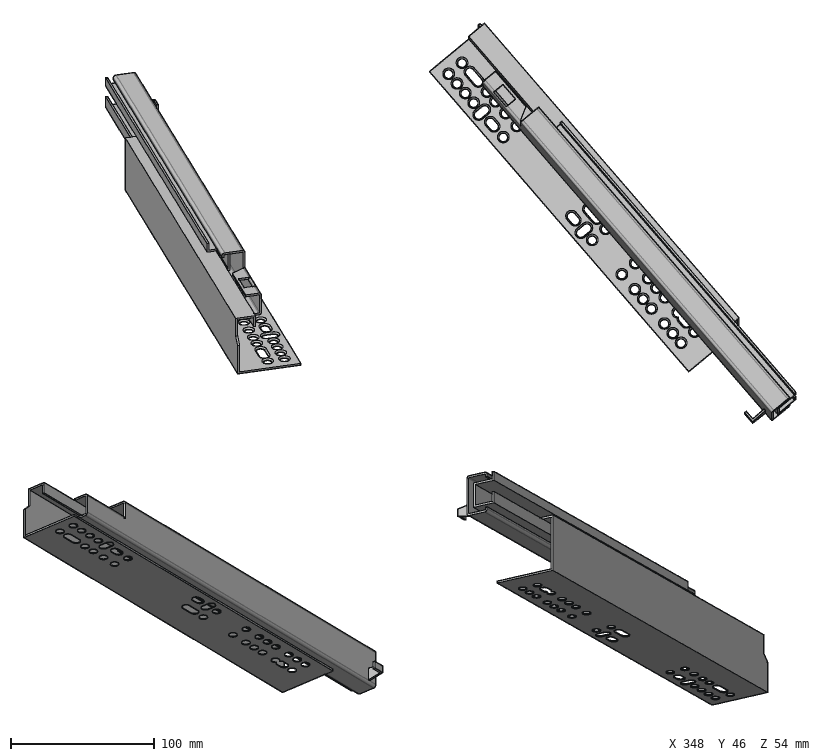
import cadquery as cq

SHEET = 1.5
TOTAL_LENGTH = 348.0

BRACKET_START = 68.0
BRACKET_LENGTH = TOTAL_LENGTH - BRACKET_START
BRACKET_DEPTH = 46.0
BRACKET_HEIGHT = 41.5
BRACKET_FLANGE = 14.5
BRACKET_LIP_BOTTOM = 33.0
NOTCH_LENGTH = 5.0
NOTCH_BOTTOM = 27.5

HOLE_DIAMETER = 6.0
COUNTERSINK_DIAMETER = 8.2
COUNTERSINK_HALF_ANGLE = 45
BACK_ROW_Y = 36.9
FRONT_ROW_Y = 24.7
HOLE_STEP = 9.0
BACK_ROW_HOLES = [19, 28, 37, 51, 60, 69, 83, 115, 211] + [243 + HOLE_STEP * i for i in range(4)]
FRONT_ROW_HOLES = [19, 37, 51, 60, 69, 83, 115, 211, 223, 234, 243, 270]
SHORT_SLOT_TRAVEL = 4.0
LONG_SLOT_TRAVEL = 9.0
CROSS_SLOT_TRAVEL = 5.5
BACK_ROW_SHORT_SLOTS = [135.3, 223]
FRONT_ROW_SHORT_SLOTS = [29.7]
FRONT_ROW_LONG_SLOTS = [129, 257]
CROSS_SLOTS = [124, 234.3]

MIDDLE_LENGTH = 253.0
MIDDLE_BACK = 22.3
MIDDLE_FRONT = 5.5
MIDDLE_BOTTOM = 29.5
MIDDLE_TOP = 47.8
MIDDLE_LOWER_LIP_TOP = 38.0
MIDDLE_UPPER_LIP_TOP = 53.0

DRAWER_LENGTH = 312.0
DRAWER_UPPER_LENGTH = 271.0
DRAWER_BACK = 27.8
DRAWER_FRONT = 11.1
DRAWER_BOTTOM = 24.2
DRAWER_TOP = 54.0
DRAWER_LIP = 3.5
BEND_RADIUS = 2.0
INNER_BEND_RADIUS = BEND_RADIUS - SHEET

TONGUE_TOP = BRACKET_HEIGHT
TONGUE_FRONT = 16.2
TONGUE_SLANT_START = 273.8
TONGUE_SLANT_END = 279.0
WINDOW_START = 287.8
WINDOW_END = 301.4
WINDOW_FRONT = 18.3
WINDOW_BACK_TOP = 27.2
WINDOW_BACK_BOTTOM = 25.0

HOOK_START = 6.6
HOOK_END = 15.2
HOOK_BACK = 39.6
HOOK_MIDDLE_Z = 31.3
HOOK_ROOT_HEIGHT = 9.6
HOOK_TIP_HEIGHT = 5.4


def box(x0, x1, y0, y1, z0, z1):
    """Box between two corners."""
    return cq.Workplane("XY").box(x1 - x0, y1 - y0, z1 - z0, centered=False).translate((x0, y0, z0))


def section(start):
    """Workplane across the runner at X = start, drawn in Y and Z and extruded toward +X."""
    return cq.Workplane("YZ", origin=(start, 0, 0))


def countersunk_hole(x, y, travel=0.0, angle=0.0):
    """Cutter for a countersunk hole, stretched into a slot when it has some travel."""

    def outline(diameter, z):
        plane = cq.Workplane("XY", origin=(BRACKET_START + x, y, z))
        return plane.slot2D(travel + diameter, diameter, angle) if travel else plane.circle(diameter / 2)

    sink_depth = (COUNTERSINK_DIAMETER - HOLE_DIAMETER) / 2
    through = outline(HOLE_DIAMETER, 0).extrude(SHEET)
    cone = outline(COUNTERSINK_DIAMETER, SHEET).extrude(-sink_depth, taper=COUNTERSINK_HALF_ANGLE)
    return through.union(cone)


def make_bracket():
    profile = [
        (BRACKET_DEPTH, 0),
        (0, 0),
        (0, BRACKET_HEIGHT),
        (BRACKET_FLANGE, BRACKET_HEIGHT),
        (BRACKET_FLANGE, BRACKET_LIP_BOTTOM),
        (BRACKET_FLANGE - SHEET, BRACKET_LIP_BOTTOM),
        (BRACKET_FLANGE - SHEET, BRACKET_HEIGHT - SHEET),
        (SHEET, BRACKET_HEIGHT - SHEET),
        (SHEET, SHEET),
        (BRACKET_DEPTH, SHEET),
    ]
    bracket = section(BRACKET_START).polyline(profile).close().extrude(BRACKET_LENGTH)

    notch_start = TOTAL_LENGTH - NOTCH_LENGTH
    notch = (
        cq.Workplane("XZ")
        .moveTo(notch_start, BRACKET_HEIGHT)
        .lineTo(notch_start, NOTCH_BOTTOM)
        .lineTo(TOTAL_LENGTH, NOTCH_BOTTOM - NOTCH_LENGTH)
        .lineTo(TOTAL_LENGTH, BRACKET_HEIGHT)
        .close()
        .extrude(-BRACKET_DEPTH)
    )
    bracket = bracket.cut(notch)

    cutters = [countersunk_hole(x, BACK_ROW_Y) for x in BACK_ROW_HOLES]
    cutters += [countersunk_hole(x, FRONT_ROW_Y) for x in FRONT_ROW_HOLES]
    cutters += [countersunk_hole(x, BACK_ROW_Y, SHORT_SLOT_TRAVEL) for x in BACK_ROW_SHORT_SLOTS]
    cutters += [countersunk_hole(x, FRONT_ROW_Y, SHORT_SLOT_TRAVEL) for x in FRONT_ROW_SHORT_SLOTS]
    cutters += [countersunk_hole(x, FRONT_ROW_Y, LONG_SLOT_TRAVEL) for x in FRONT_ROW_LONG_SLOTS]
    cutters += [countersunk_hole(x, BACK_ROW_Y, CROSS_SLOT_TRAVEL, 90) for x in CROSS_SLOTS]
    for cutter in cutters:
        bracket = bracket.cut(cutter)
    return bracket


def make_middle_rail():
    profile = [
        (MIDDLE_BACK, MIDDLE_BOTTOM),
        (MIDDLE_FRONT, MIDDLE_BOTTOM),
        (MIDDLE_FRONT, MIDDLE_LOWER_LIP_TOP),
        (MIDDLE_FRONT + SHEET, MIDDLE_LOWER_LIP_TOP),
        (MIDDLE_FRONT + SHEET, MIDDLE_BOTTOM + SHEET),
        (MIDDLE_BACK - SHEET, MIDDLE_BOTTOM + SHEET),
        (MIDDLE_BACK - SHEET, MIDDLE_TOP - SHEET),
        (MIDDLE_FRONT, MIDDLE_TOP - SHEET),
        (MIDDLE_FRONT, MIDDLE_UPPER_LIP_TOP),
        (MIDDLE_FRONT + SHEET, MIDDLE_UPPER_LIP_TOP),
        (MIDDLE_FRONT + SHEET, MIDDLE_TOP),
        (MIDDLE_BACK, MIDDLE_TOP),
    ]
    return section(0).polyline(profile).close().extrude(MIDDLE_LENGTH)


def rounded_channel(start, end, front, top, inner_front):
    """Rounded block along X with the drawer rail's back and bottom, hollowed to the sheet thickness."""
    outside = box(start, end, front, DRAWER_BACK, DRAWER_BOTTOM, top)
    inside = box(start, end, inner_front, DRAWER_BACK - SHEET, DRAWER_BOTTOM + SHEET, top - SHEET)
    return outside.edges("|X").fillet(BEND_RADIUS).cut(inside.edges("|X").fillet(INNER_BEND_RADIUS))


def make_drawer_rail():
    lip_inside = DRAWER_FRONT + SHEET
    upper_lip_bottom = DRAWER_TOP - DRAWER_LIP
    lower_lip_top = DRAWER_BOTTOM + DRAWER_LIP

    rail = rounded_channel(0, DRAWER_UPPER_LENGTH, DRAWER_FRONT, DRAWER_TOP, lip_inside)
    rail = rail.cut(box(0, DRAWER_UPPER_LENGTH, DRAWER_FRONT, lip_inside, lower_lip_top, upper_lip_bottom))

    rear = rounded_channel(DRAWER_UPPER_LENGTH, DRAWER_LENGTH, DRAWER_FRONT, TONGUE_TOP, lip_inside)
    rear = rear.cut(
        box(DRAWER_UPPER_LENGTH, DRAWER_LENGTH, DRAWER_FRONT, TONGUE_FRONT, lower_lip_top, TONGUE_TOP)
    )
    slant = (
        cq.Workplane("XY", origin=(0, 0, TONGUE_TOP - BEND_RADIUS))
        .moveTo(DRAWER_UPPER_LENGTH, TONGUE_FRONT)
        .lineTo(TONGUE_SLANT_END, TONGUE_FRONT)
        .lineTo(TONGUE_SLANT_START, DRAWER_BACK - BEND_RADIUS)
        .lineTo(DRAWER_UPPER_LENGTH, DRAWER_BACK)
        .close()
        .extrude(BEND_RADIUS)
    )
    window_outline = [
        (WINDOW_FRONT, TONGUE_TOP),
        (WINDOW_FRONT, TONGUE_TOP - SHEET),
        (WINDOW_BACK_BOTTOM, TONGUE_TOP - SHEET),
        (WINDOW_BACK_TOP, TONGUE_TOP),
    ]
    window = section(WINDOW_START).polyline(window_outline).close().extrude(WINDOW_END - WINDOW_START)
    return rail.union(rear.cut(slant).cut(window)).union(make_hook())


def make_hook():
    """Plate standing out of the back of the drawer rail, its end bent toward +X."""
    bent_plate = box(HOOK_START, HOOK_START + SHEET, DRAWER_BACK, HOOK_BACK, DRAWER_BOTTOM, DRAWER_TOP)
    bent_plate = bent_plate.union(
        box(HOOK_START, HOOK_END, HOOK_BACK - SHEET, HOOK_BACK, DRAWER_BOTTOM, DRAWER_TOP)
    )
    taper_outline = [
        (DRAWER_BACK, HOOK_MIDDLE_Z - HOOK_ROOT_HEIGHT / 2),
        (HOOK_BACK, HOOK_MIDDLE_Z - HOOK_TIP_HEIGHT / 2),
        (HOOK_BACK, HOOK_MIDDLE_Z + HOOK_TIP_HEIGHT / 2),
        (DRAWER_BACK, HOOK_MIDDLE_Z + HOOK_ROOT_HEIGHT / 2),
    ]
    return bent_plate.intersect(section(0).polyline(taper_outline).close().extrude(HOOK_END))


bracket = make_bracket()
middle_rail = make_middle_rail()
drawer_rail = make_drawer_rail()

result = cq.Compound.makeCompound([bracket.val(), middle_rail.val(), drawer_rail.val()])